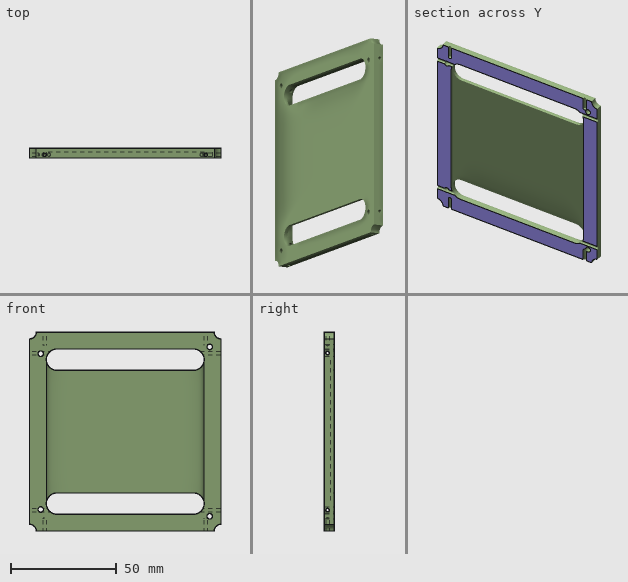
import cadquery as cq
import math

width = 90.48
thickness = 4.76
height = 94.0
corner_notch_radius = 3.175

side_rail = 8.0
end_rail = 8.0
slot_height = 10.0
pocket_depth = 3.0

mount_hole_diameter = 2.5
mount_hole_side_inset = 5.33
left_hole_end_inset = 10.2
right_hole_end_inset = 7.0

edge_hole_diameter = 1.6
edge_hole_front_inset = 1.59
side_hole_end_inset = 9.9
end_hole_side_inset = 7.15
end_hole_depth = 6.0
drill_point_angle = 118.0

right_edge = width / 2
top_edge = height / 2
pocket_width = width - 2 * side_rail
pocket_height = height - 2 * end_rail
slot_radius = slot_height / 2
slot_center_z = top_edge - end_rail - slot_radius


def front_sketch():
    """Workplane on the front face: local x is X, local y is Z, negative extrusions go into the part."""
    return cq.Workplane("XZ")


def make_frame():
    """Plate with a concave quarter-round notch at each corner."""
    plate = front_sketch().rect(width, height).extrude(-thickness)
    notches = (
        front_sketch()
        .rect(width, height, forConstruction=True)
        .vertices()
        .circle(corner_notch_radius)
        .extrude(-thickness)
    )
    return plate.cut(notches)


def make_pocket():
    """Shallow front recess whose corners follow the slot ends."""
    pocket = front_sketch().rect(pocket_width, pocket_height).extrude(-pocket_depth)
    return pocket.edges("|Y").fillet(slot_radius)


def make_slots():
    """Through slots at the top and bottom of the recess."""
    centers = [(0, slot_center_z), (0, -slot_center_z)]
    return front_sketch().pushPoints(centers).slot2D(pocket_width, slot_height).extrude(-thickness)


def make_mount_holes():
    """Through holes near the corners; the left pair sits closer together than the right."""
    hole_x = right_edge - mount_hole_side_inset
    left_z = top_edge - left_hole_end_inset
    right_z = top_edge - right_hole_end_inset
    centers = [(-hole_x, left_z), (-hole_x, -left_z), (hole_x, right_z), (hole_x, -right_z)]
    return front_sketch().pushPoints(centers).circle(mount_hole_diameter / 2).extrude(-thickness)


def make_side_holes():
    """Holes along X that pass through both side rails."""
    hole_z = top_edge - side_hole_end_inset
    centers = [(edge_hole_front_inset, hole_z), (edge_hole_front_inset, -hole_z)]
    return (
        cq.Workplane("YZ")
        .workplane(offset=-right_edge)
        .pushPoints(centers)
        .circle(edge_hole_diameter / 2)
        .extrude(width)
    )


def make_end_holes():
    """Blind drilled holes with conical bottoms in the top edge, mirrored into the bottom edge."""
    radius = edge_hole_diameter / 2
    point_depth = radius / math.tan(math.radians(drill_point_angle / 2))
    hole_x = right_edge - end_hole_side_inset
    drill = (
        cq.Workplane("XZ")
        .lineTo(radius, 0)
        .lineTo(radius, -end_hole_depth)
        .lineTo(0, -end_hole_depth - point_depth)
        .close()
        .revolve(360, (0, 0), (0, 1))
    )
    left_hole = drill.translate((-hole_x, edge_hole_front_inset, top_edge))
    right_hole = drill.translate((hole_x, edge_hole_front_inset, top_edge))
    top_holes = left_hole.union(right_hole)
    return top_holes.union(top_holes.mirror("XY"))


result = (
    make_frame()
    .cut(make_pocket())
    .cut(make_slots())
    .cut(make_mount_holes())
    .cut(make_side_holes())
    .cut(make_end_holes())
)